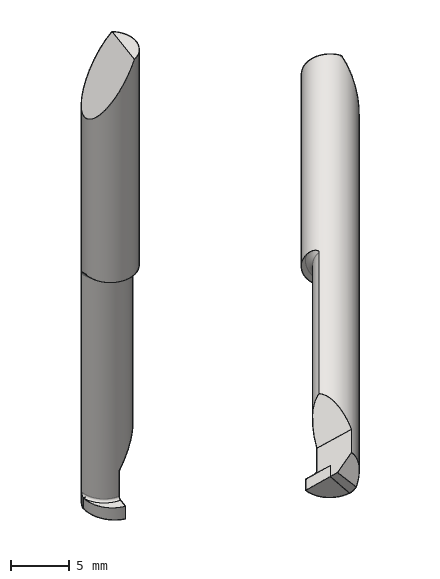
import cadquery as cq
import math

length = 49.5
shank_radius = 2.5
oversize = 4 * shank_radius

bevel_angle = 30.0
top_land_y = 1.25
rake_y = 0.25
rake_height = 4.4
corner_chamfer = 1.6

neck_radius = 2.48
neck_center_x = -1.2
shoulder_z = 26.05
hook_top_z = 1.4
shoulder_fillet = 0.6
hook_fillet = 0.25

tip_left_x = -0.2
tip_reach_x = 2.48
flank_radius = 2.85
flank_offset_y = 0.4
flank_center_x = tip_reach_x - math.sqrt(flank_radius**2 - (flank_offset_y - rake_y)**2)
end_clearance_x = 1.0
end_clearance_y = 3.0


def prism_along_x(points):
    """Extrude a YZ outline through the bar in both X directions."""
    return cq.Workplane("YZ").polyline(points).close().extrude(oversize, both=True)


def top_bevel():
    front_y = -oversize
    drop = (top_land_y - front_y) / math.tan(math.radians(bevel_angle))
    return prism_along_x([(top_land_y, length), (front_y, length), (front_y, length - drop)])


def rake_relief():
    back_y = oversize
    rise = (back_y - rake_y) / math.tan(math.radians(bevel_angle))
    return prism_along_x([
        (rake_y, -oversize), (rake_y, rake_height),
        (back_y, rake_height + rise), (back_y, -oversize),
    ])


def lower_corner_chamfer():
    outline = [
        (-shank_radius, 0), (-shank_radius, corner_chamfer), (corner_chamfer - shank_radius, 0),
    ]
    return cq.Workplane("XZ").polyline(outline).close().extrude(oversize, both=True)


def neck_relief():
    """Ring around the neck, rounded where it meets the shoulder and the hook."""
    outer_radius = neck_radius + oversize
    diagonal = 1 - math.sqrt(0.5)
    profile = (
        cq.Workplane("XZ", origin=(neck_center_x, 0, 0))
        .moveTo(outer_radius, hook_top_z)
        .lineTo(neck_radius + hook_fillet, hook_top_z)
        .threePointArc(
            (neck_radius + diagonal * hook_fillet, hook_top_z + diagonal * hook_fillet),
            (neck_radius, hook_top_z + hook_fillet),
        )
        .lineTo(neck_radius, shoulder_z - shoulder_fillet)
        .threePointArc(
            (neck_radius + diagonal * shoulder_fillet, shoulder_z - diagonal * shoulder_fillet),
            (neck_radius + shoulder_fillet, shoulder_z),
        )
        .lineTo(outer_radius, shoulder_z)
        .close()
    )
    return profile.revolve(360, (0, 0, 0), (0, 1, 0))


def end_clearance():
    """Half-space below a bottom face that is lowest at the cutting corner."""
    lowest_corner = (tip_reach_x, rake_y, 0)
    return (
        cq.Workplane("XY")
        .box(2 * oversize, 2 * oversize, oversize, centered=(True, True, False))
        .translate((0, 0, -oversize))
        .rotate((0, 0, 0), (1, 0, 0), -end_clearance_y)
        .rotate((0, 0, 0), (0, 1, 0), end_clearance_x)
        .translate(lowest_corner)
    )


def tip_zone():
    """Block to the right of the tip joint and below the top of the hook."""
    return (
        cq.Workplane("XY")
        .box(oversize, 2 * oversize, hook_top_z, centered=(False, True, False))
        .translate((tip_left_x, 0, 0))
    )


def make_blank():
    blank = cq.Workplane("XY").circle(shank_radius).extrude(length)
    blank = blank.cut(top_bevel()).cut(rake_relief()).cut(lower_corner_chamfer())
    return blank.cut(neck_relief()).cut(end_clearance())


def make_shank(blank):
    return blank.cut(tip_zone())


def make_cutting_tip():
    flank = (
        cq.Workplane("XY")
        .center(flank_center_x, flank_offset_y)
        .circle(flank_radius)
        .extrude(hook_top_z)
    )
    tip = flank.intersect(tip_zone())
    return tip.cut(rake_relief()).cut(end_clearance())


shank = make_shank(make_blank())
cutting_tip = make_cutting_tip()

result = cq.Compound.makeCompound([shank.val(), cutting_tip.val()])